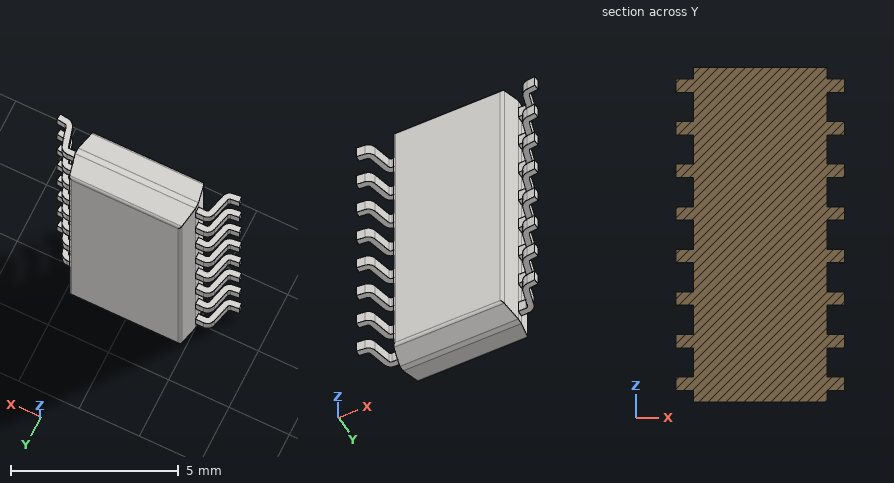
import math

import cadquery as cq


body_width = 4.0
body_length = 10.0
body_top = 1.8
standoff = 0.15
draft_angle = 12.0
edge_radius = 0.1

pins_per_side = 8
pin_pitch = 1.27
lead_span = 6.06
lead_width = 0.41
lead_thickness = 0.2
lead_top = 1.07
bend_radius = 0.18
leg_angle = math.radians(75)
foot_angle = math.radians(6)
foot_length = 0.28
lead_embed = 0.3

band_top = lead_top
band_bottom = band_top - lead_thickness


def body_section(y):
    """Widest body outline, on a plane at height y facing +Y."""
    plane = cq.Plane(origin=(0, y, 0), xDir=(1, 0, 0), normal=(0, -1, 0))
    return cq.Workplane(plane).rect(body_width, body_length)


def make_body():
    """Straight parting band with a drafted block above and below it."""
    band = body_section(band_top).extrude(lead_thickness)
    lower = body_section(band_bottom).extrude(band_bottom - standoff, taper=draft_angle)
    upper = body_section(band_top).extrude(-(body_top - band_top), taper=draft_angle)
    lower = lower.faces("<Y").edges().fillet(edge_radius)
    upper = upper.faces(">Y").edges().fillet(edge_radius)
    return band.union(lower).union(upper)


def travel(start, length, angle):
    """Point reached from start going outward along -X while falling at angle."""
    return (start[0] - length * math.cos(angle), start[1] - length * math.sin(angle))


def bend_end(start, angle_in, angle_out):
    """End of a bend that turns the lead from one fall angle to another."""
    run = bend_radius * abs(math.sin(angle_out) - math.sin(angle_in))
    drop = bend_radius * abs(math.cos(angle_out) - math.cos(angle_in))
    return (start[0] - run, start[1] - drop)


def make_lead():
    """Gull-wing lead on the -X side, centred on Z = 0."""
    half_thickness = lead_thickness / 2
    centre_height = lead_top - half_thickness

    tip = (
        -lead_span / 2 + half_thickness * math.sin(foot_angle),
        half_thickness * math.cos(foot_angle),
    )
    foot_start = travel(tip, -foot_length, foot_angle)
    bend_offset = bend_end((0, 0), leg_angle, foot_angle)
    leg_end = (foot_start[0] - bend_offset[0], foot_start[1] - bend_offset[1])

    shoulder_offset = bend_end((0, 0), 0, leg_angle)
    leg_start_height = centre_height + shoulder_offset[1]
    leg_length = (leg_start_height - leg_end[1]) / math.sin(leg_angle)
    leg_start = travel(leg_end, -leg_length, leg_angle)
    shoulder_end = (leg_start[0] - shoulder_offset[0], centre_height)
    root = (-body_width / 2 + lead_embed, centre_height)

    path = (
        cq.Workplane("XY")
        .moveTo(*root)
        .lineTo(*shoulder_end)
        .tangentArcPoint(leg_start, relative=False)
        .lineTo(*leg_end)
        .tangentArcPoint(foot_start, relative=False)
        .lineTo(*tip)
    )
    section = cq.Workplane("YZ", origin=(root[0], root[1], 0)).rect(lead_thickness, lead_width)
    return section.sweep(path)


def add_leads(body):
    """Join one row of evenly spaced leads to each long side of the body."""
    left_lead = make_lead()
    right_lead = left_lead.mirror("YZ")
    first_pin = -pin_pitch * (pins_per_side - 1) / 2
    for pin in range(pins_per_side):
        offset = (0, 0, first_pin + pin * pin_pitch)
        body = body.union(left_lead.translate(offset)).union(right_lead.translate(offset))
    return body


result = add_leads(make_body())